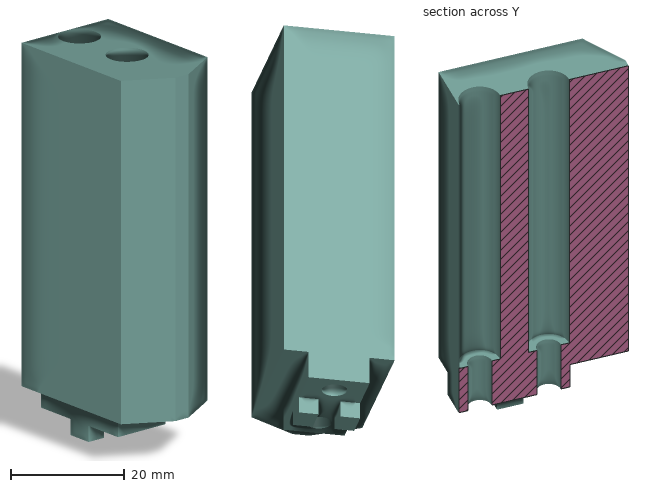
import cadquery as cq
import math

body_length = 32.0
body_width = 20.0
body_height = 64.0
nose_width = 3.0
taper_angle = 30.0

foot_length = 21.0
foot_width = 11.0
foot_height = 5.0

lug_length = 5.0
lug_width = 3.5
lug_height = 3.0

hole_spacing = 13.0
hole_diameter = 4.5
counterbore_diameter = 7.6
counterbore_floor = 5.0

taper_length = (body_width - nose_width) / 2 * math.tan(math.radians(taper_angle))
foot_bottom = -foot_height
foot_center_x = foot_length / 2
lug_offset_y = (foot_width - lug_width) / 2


def make_body():
    shoulder_x = body_length - taper_length
    outline = [
        (0, -body_width / 2),
        (shoulder_x, -body_width / 2),
        (body_length, -nose_width / 2),
        (body_length, nose_width / 2),
        (shoulder_x, body_width / 2),
        (0, body_width / 2),
    ]
    return cq.Workplane("XY").polyline(outline).close().extrude(body_height)


def make_foot():
    return (
        cq.Workplane("XY")
        .center(foot_center_x, 0)
        .rect(foot_length, foot_width)
        .extrude(-foot_height)
    )


def make_lug(center_y):
    return (
        cq.Workplane("XY", origin=(foot_center_x, center_y, foot_bottom))
        .rect(lug_length, lug_width)
        .extrude(-lug_height)
    )


def make_screw_hole(center_x):
    shank = (
        cq.Workplane("XY", origin=(center_x, 0, foot_bottom))
        .circle(hole_diameter / 2)
        .extrude(foot_height + body_height)
    )
    counterbore = (
        cq.Workplane("XY", origin=(center_x, 0, counterbore_floor))
        .circle(counterbore_diameter / 2)
        .extrude(body_height - counterbore_floor)
    )
    return shank.union(counterbore)


result = make_body().union(make_foot())

for side in (-1, 1):
    result = result.union(make_lug(side * lug_offset_y))

for side in (-1, 1):
    result = result.cut(make_screw_hole(foot_center_x + side * hole_spacing / 2))